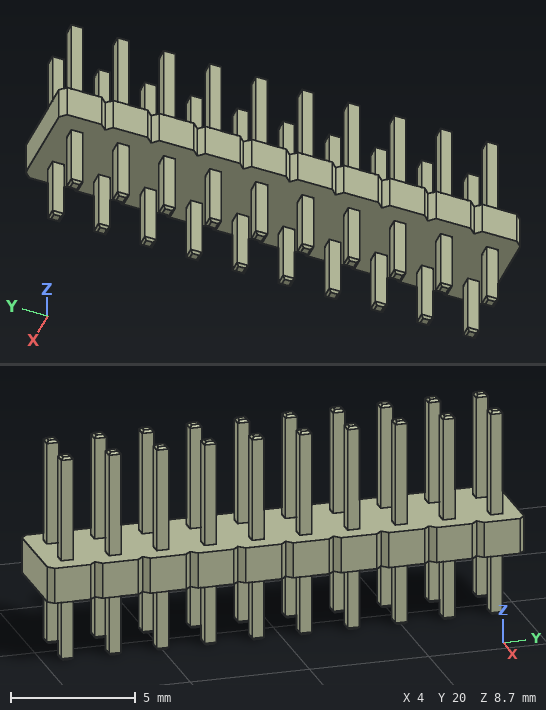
import cadquery as cq

pitch = 2.0
columns = 2
rows = 10

body_width = columns * pitch
body_length = rows * pitch
body_height = 1.5
cell_chamfer = 0.25

pin_side = 0.5
pin_above_body = 4.4
pin_below_body = 2.8
pin_length = pin_below_body + body_height + pin_above_body
tip_inset = 0.1
tip_height = 0.1


def body_outline():
    """One side of the body, cell by cell, then the same points mirrored in X."""
    edge_x = body_width / 2
    notch_x = edge_x - cell_chamfer
    right_side = []
    for row in range(rows):
        cell_start = row * pitch - body_length / 2
        cell_end = cell_start + pitch
        right_side.append((notch_x, cell_start))
        right_side.append((edge_x, cell_start + cell_chamfer))
        right_side.append((edge_x, cell_end - cell_chamfer))
    right_side.append((notch_x, body_length / 2))
    left_side = [(-x, y) for x, y in reversed(right_side)]
    return right_side + left_side


def make_body():
    return cq.Workplane("XY").polyline(body_outline()).close().extrude(body_height)


def make_pin():
    """A square pin on the Z axis with all four sides bevelled at both tips."""
    return (
        cq.Workplane("XY")
        .workplane(offset=-pin_below_body)
        .rect(pin_side, pin_side)
        .extrude(pin_length)
        .faces("<Z or >Z")
        .chamfer(tip_height, tip_inset)
    )


def pin_positions():
    return [
        ((column - (columns - 1) / 2) * pitch, (row - (rows - 1) / 2) * pitch)
        for column in range(columns)
        for row in range(rows)
    ]


result = make_body()
pin = make_pin()
for x, y in pin_positions():
    result = result.union(pin.translate((x, y, 0)))